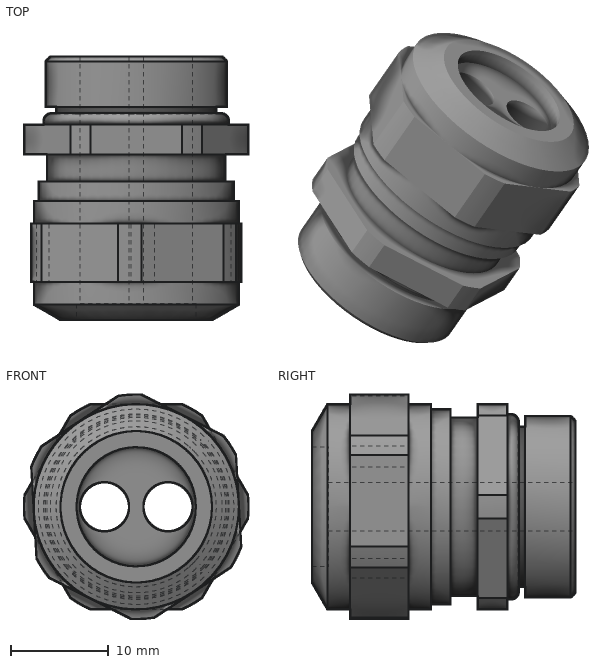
import cadquery as cq
import math


CAP_HEX_START = 3.9
CAP_HEX_END = 9.9
CAP_END = 12.2
COLLAR_END = 14.2
BODY_HEX_START = 16.95
BODY_HEX_END = 20.0
THREAD_START = 21.8
LENGTH = 26.97

CAP_FACE_DIAMETER = 15.5
CAP_DIAMETER = 21.0
COLLAR_DIAMETER = 20.0
BODY_NECK_DIAMETER = 18.3
RELIEF_DIAMETER = 16.4
THREAD_DIAMETER = 18.6

CAP_CONE_ANGLE = 60.0
CAP_CONE_LENGTH = (CAP_DIAMETER - CAP_FACE_DIAMETER) / 2 / math.tan(math.radians(CAP_CONE_ANGLE))
THREAD_CHAMFER = 0.5

SEAL_DIAMETER = 19.0
SEAL_SECTION_RADIUS = 0.88
SEAL_CENTRE = 20.3

HEX_SIDES = 6
HEX_HALF_ANGLE = 180 / HEX_SIDES
HEX_ACROSS_FLATS = 21.0
HEX_CORNER_DIAMETER = 23.0
CAP_HEX_TURN = 3.3
BODY_HEX_TURN = HEX_HALF_ANGLE

RECESS_DIAMETER = 12.2
RECESS_DEPTH = 1.7
CABLE_HOLE_DIAMETER = 5.0
CABLE_HOLE_SPACING = 6.5


def cylinder(diameter, start, end, x=0):
    """Cylinder parallel to Y between two stations."""
    plane = cq.Workplane("XZ", origin=(x, start, 0))
    return plane.circle(diameter / 2).extrude(start - end)


def capped_cone():
    """Cap with its front edge cut back to a cone."""
    profile = [
        (0, 0),
        (CAP_FACE_DIAMETER / 2, 0),
        (CAP_DIAMETER / 2, CAP_CONE_LENGTH),
        (CAP_DIAMETER / 2, CAP_END),
        (0, CAP_END),
    ]
    return cq.Workplane("XY").polyline(profile).close().revolve(360, (0, 0, 0), (0, 1, 0))


def rounded_hexagon(start, end, turn):
    """Hexagonal prism whose corners are turned down to the corner circle."""
    across_corners = HEX_ACROSS_FLATS / math.cos(math.radians(HEX_HALF_ANGLE))
    prism = cq.Workplane("XZ").polygon(HEX_SIDES, across_corners).extrude(start - end)
    prism = prism.rotate((0, 0, 0), (0, 1, 0), HEX_HALF_ANGLE - turn).translate((0, start, 0))
    return prism.intersect(cylinder(HEX_CORNER_DIAMETER, start, end))


def seal_ring():
    """Round-section ring seated against the body hexagon."""
    ring_radius = SEAL_DIAMETER / 2 - SEAL_SECTION_RADIUS
    section = cq.Workplane("XY").center(-ring_radius, SEAL_CENTRE).circle(SEAL_SECTION_RADIUS)
    return section.revolve(360, (ring_radius, 0, 0), (ring_radius, 1, 0))


def threaded_end():
    """Thread modelled as a plain cylinder with a lead-in chamfer."""
    return cylinder(THREAD_DIAMETER, THREAD_START, LENGTH).faces(">Y").edges().chamfer(THREAD_CHAMFER)


def outer_shape():
    """All outside shapes joined along the axis."""
    shape = capped_cone()
    shape = shape.union(rounded_hexagon(CAP_HEX_START, CAP_HEX_END, CAP_HEX_TURN))
    shape = shape.union(cylinder(COLLAR_DIAMETER, CAP_END, COLLAR_END))
    shape = shape.union(cylinder(BODY_NECK_DIAMETER, COLLAR_END, BODY_HEX_START))
    shape = shape.union(rounded_hexagon(BODY_HEX_START, BODY_HEX_END, BODY_HEX_TURN))
    shape = shape.union(seal_ring())
    shape = shape.union(cylinder(RELIEF_DIAMETER, BODY_HEX_END, THREAD_START))
    return shape.union(threaded_end())


def cut_openings(shape):
    """Cut the front recess and the cable holes that run the full length."""
    shape = shape.cut(cylinder(RECESS_DIAMETER, 0, RECESS_DEPTH))
    for side in (-1, 1):
        shape = shape.cut(cylinder(CABLE_HOLE_DIAMETER, 0, LENGTH, side * CABLE_HOLE_SPACING / 2))
    return shape


result = cut_openings(outer_shape())